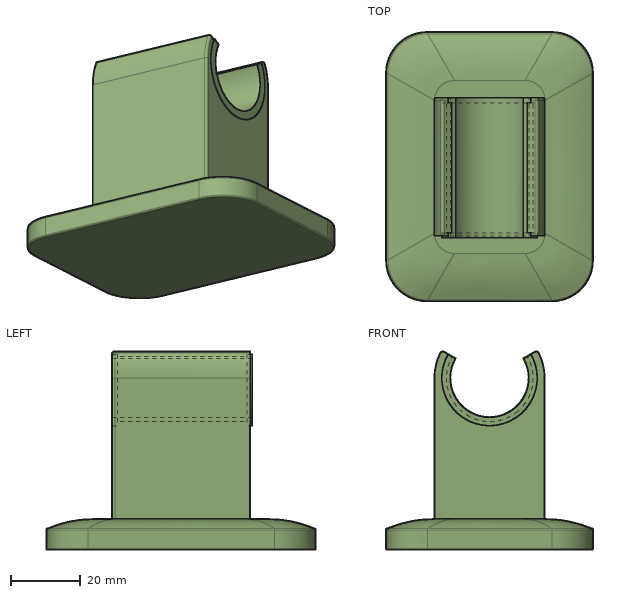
import cadquery as cq
import math

base_width = 60.0
base_length = 78.0
base_corner = 12.0
rim_height = 6.25
rim_fillet = 0.5
base_height = 9.0
flat_length = 50.1
flat_corner = 5.8
dome_sections = 5

block_width = 32.0
block_depth = 40.0
bore_height = 49.75
opening_angle = 30.0
block_edge_fillet = 0.8

liner_inner_radius = 11.3
liner_outer_radius = 12.55
flange_radius = 13.8
flange_thickness = 1.55
liner_protrusion = 0.6

block_front = -block_depth / 2
block_back = block_depth / 2
liner_front = block_front - liner_protrusion
liner_length = block_back - liner_front


def blend(start, end, fraction):
    return start + (end - start) * fraction


def rounded_wire(width, length, corner, z):
    """Rounded rectangle centred on the Z axis at height z."""
    outline = cq.Sketch().rect(width, length).vertices().fillet(corner)
    return outline.reset().faces().val().outerWire().moved(cq.Location(cq.Vector(0, 0, z)))


def make_dome():
    """Loft rising along a circular arc that ends level with the flat top."""
    outer_width = base_width - 2 * rim_fillet
    outer_length = base_length - 2 * rim_fillet
    outer_corner = base_corner - rim_fillet
    run = (outer_width - block_width) / 2
    rise = base_height - rim_height
    arc_radius = (run**2 + rise**2) / (2 * rise)
    wires = []
    for index in range(dome_sections):
        fraction = index / (dome_sections - 1)
        remaining = run * (1 - fraction)
        z = base_height - arc_radius + math.sqrt(arc_radius**2 - remaining**2)
        width = blend(outer_width, block_width, fraction)
        length = blend(outer_length, flat_length, fraction)
        corner = blend(outer_corner, flat_corner, fraction)
        wires.append(rounded_wire(width, length, corner, z))
    return cq.Workplane(cq.Solid.makeLoft(wires))


def make_base():
    rim = (
        cq.Workplane("XY")
        .rect(base_width, base_length)
        .extrude(rim_height)
        .edges("|Z")
        .fillet(base_corner)
        .faces("<Z or >Z")
        .edges()
        .fillet(rim_fillet)
    )
    return rim.union(make_dome())


def cylinder(radius, y_start, length):
    """Cylinder on the bore axis, running towards +Y from y_start."""
    return cq.Workplane("XZ", origin=(0, y_start, bore_height)).circle(radius).extrude(-length)


def opening_wedge():
    """V-shaped space above the bore, with its apex on the bore axis."""
    reach = block_width
    rise = reach * math.tan(math.radians(opening_angle))
    return (
        cq.Workplane("XZ", origin=(0, liner_front, bore_height))
        .polyline([(0, 0), (reach, rise), (reach, reach), (-reach, reach), (-reach, rise)])
        .close()
        .extrude(-liner_length)
    )


def liner_envelope():
    """Solid shape of the liner before its bore and opening are cut."""
    body = cylinder(liner_outer_radius, liner_front, liner_length)
    for flange_start in (liner_front, block_back - flange_thickness):
        body = body.union(cylinder(flange_radius, flange_start, flange_thickness))
    return body


def make_block():
    half_width = block_width / 2
    block = (
        cq.Workplane("XZ", origin=(0, block_front, 0))
        .moveTo(-half_width, base_height)
        .lineTo(half_width, base_height)
        .lineTo(half_width, bore_height)
        .threePointArc((0, bore_height + half_width), (-half_width, bore_height))
        .close()
        .extrude(-block_depth)
        .cut(opening_wedge())
    )
    tip_x = half_width * math.cos(math.radians(opening_angle))
    tip_z = bore_height + half_width * math.sin(math.radians(opening_angle))
    for side in (-1, 1):
        tip = cq.selectors.NearestToPointSelector((side * tip_x, 0, tip_z))
        block = block.edges("|Y").edges(tip).fillet(block_edge_fillet)
    wall = cq.selectors.NearestToPointSelector((half_width, block_back, bore_height / 2))
    other_wall = cq.selectors.NearestToPointSelector((-half_width, block_back, bore_height / 2))
    block = block.faces(">Y").edges(wall + other_wall).fillet(block_edge_fillet)
    return block.cut(liner_envelope())


def make_liner():
    bore = cylinder(liner_inner_radius, liner_front, liner_length)
    return liner_envelope().cut(bore).cut(opening_wedge())


base = make_base()
block = make_block()
liner = make_liner()

result = cq.Compound.makeCompound([base.val(), block.val(), liner.val()])